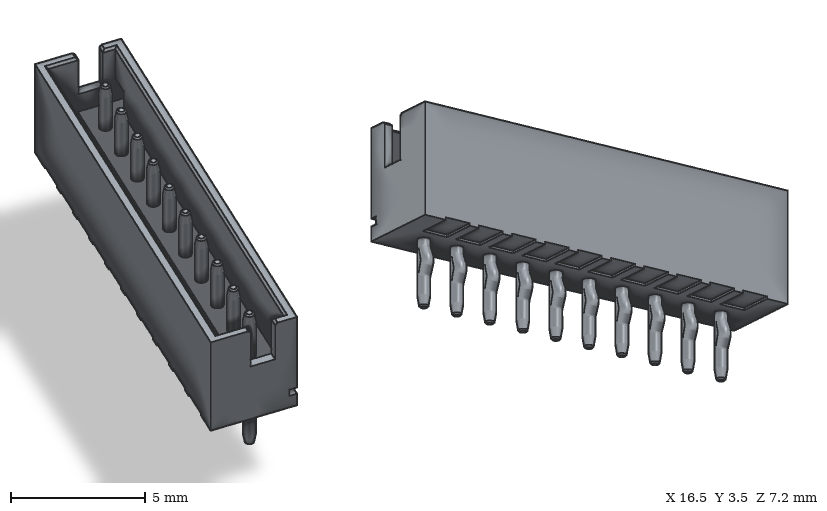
import cadquery as cq
import math

length = 16.5
depth = 3.5
overall_height = 7.2
pin_reach_below = 2.69
height = overall_height - pin_reach_below
end_wall = 0.35
long_wall = 0.4
rim_chamfer = 0.1

shelf_z = 1.78
shelf_edge_y = -0.16
trough_drop = 0.25

slot_rear_y = 0.85
slot_front_y = -0.13
slot_floor_z = 2.67
slot_chamfer = 0.1

window_width = 0.8
window_height = 1.15

groove_z = 0.6
groove_height = 0.31
groove_depth = 0.31

relief_width = 1.09
relief_height = 0.1
relief_depth = 1.48

pin_count = 10
pin_pitch = 1.5
pin_y = 0.46
pin_radius = 0.25
pin_top_z = 3.93
taper_length = 0.45
tip_radius = 0.18
tip_chamfer = 0.07

kink_top_z = -0.2
kink_thinning = 0.002
kink_radius = pin_radius - kink_thinning
kink_half_height = 0.68
kink_angle = math.radians(24)
bend_radius = 0.5
crown_radius = 0.38

cavity_length = length - 2 * end_wall
cavity_half_depth = depth / 2 - long_wall


def box(x_range, y_range, z_range):
    """Axis-aligned box between pairs of limits."""
    (x0, x1), (y0, y1), (z0, z1) = x_range, y_range, z_range
    return cq.Workplane("XY").box(x1 - x0, y1 - y0, z1 - z0, centered=False).translate((x0, y0, z0))


def along_length(points, run):
    """Closed (y, z) outline extruded along X, centred on the housing."""
    return cq.Workplane("YZ").polyline(points).close().extrude(run / 2, both=True)


def make_cavity():
    trough_z = shelf_z - trough_drop
    outline = [
        (-cavity_half_depth, height),
        (-cavity_half_depth, trough_z),
        (shelf_edge_y - trough_drop, trough_z),
        (shelf_edge_y, shelf_z),
        (cavity_half_depth, shelf_z),
        (cavity_half_depth, height),
    ]
    flare = (
        cq.Workplane("XY")
        .workplane(offset=height)
        .rect(cavity_length + 2 * rim_chamfer, 2 * (cavity_half_depth + rim_chamfer))
        .extrude(-rim_chamfer, taper=45)
    )
    return along_length(outline, cavity_length).union(flare)


def make_end_slots():
    outline = [
        (slot_front_y, slot_floor_z),
        (slot_front_y, height - slot_chamfer),
        (slot_front_y - slot_chamfer, height),
        (slot_rear_y + slot_chamfer, height),
        (slot_rear_y, height - slot_chamfer),
        (slot_rear_y, slot_floor_z),
    ]
    return along_length(outline, length)


def make_window():
    """Window at the +X end of the rear wall."""
    outer_x = cavity_length / 2
    return box(
        (outer_x - window_width, outer_x),
        (cavity_half_depth, depth / 2),
        (shelf_z, shelf_z + window_height),
    )


def make_groove():
    return box(
        (-length / 2, length / 2),
        (depth / 2 - groove_depth, depth / 2),
        (groove_z, groove_z + groove_height),
    )


def make_relief():
    """Relief pocket for a pin at X = 0."""
    return box(
        (-relief_width / 2, relief_width / 2),
        (-depth / 2, -depth / 2 + relief_depth),
        (0, relief_height),
    )


def make_kink():
    """Round wire bowed toward -Y: bend, straight, crown, straight, bend."""
    sine = math.sin(kink_angle)
    cosine = math.cos(kink_angle)
    half_angle = kink_angle / 2
    middle_z = kink_top_z - kink_half_height

    mid_bend_offset = bend_radius * (1 - math.cos(half_angle))
    mid_bend_height = kink_half_height - bend_radius * math.sin(half_angle)
    bend_offset = bend_radius * (1 - cosine)
    bend_height = kink_half_height - bend_radius * sine
    crown_height = crown_radius * sine
    crown_offset = bend_offset + (bend_height - crown_height) * math.tan(kink_angle)
    peak_offset = crown_offset + crown_radius * (1 - cosine)

    path = (
        cq.Workplane("YZ")
        .moveTo(0, middle_z + kink_half_height)
        .threePointArc(
            (-mid_bend_offset, middle_z + mid_bend_height),
            (-bend_offset, middle_z + bend_height),
        )
        .lineTo(-crown_offset, middle_z + crown_height)
        .threePointArc((-peak_offset, middle_z), (-crown_offset, middle_z - crown_height))
        .lineTo(-bend_offset, middle_z - bend_height)
        .threePointArc(
            (-mid_bend_offset, middle_z - mid_bend_height),
            (0, middle_z - kink_half_height),
        )
    )
    return cq.Workplane("XY").workplane(offset=kink_top_z).circle(kink_radius).sweep(path)


def make_pin():
    """Pin on the Z axis, tapered at both ends."""
    bottom_z = -pin_reach_below
    end_radius = tip_radius - tip_chamfer
    shank = (
        cq.Workplane("XZ")
        .polyline([
            (0, bottom_z),
            (end_radius, bottom_z),
            (tip_radius, bottom_z + tip_chamfer),
            (pin_radius, bottom_z + taper_length),
            (pin_radius, pin_top_z - taper_length),
            (tip_radius, pin_top_z - tip_chamfer),
            (end_radius, pin_top_z),
            (0, pin_top_z),
        ])
        .close()
        .revolve(360, (0, 0), (0, 1))
    )
    return shank.union(make_kink())


pin_xs = [(i - (pin_count - 1) / 2) * pin_pitch for i in range(pin_count)]

housing = cq.Workplane("XY").box(length, depth, height, centered=(True, True, False))
housing = housing.cut(make_cavity())
housing = housing.cut(make_end_slots())
housing = housing.cut(make_groove())

window = make_window()
housing = housing.cut(window).cut(window.mirror("YZ"))

relief = make_relief()
for x in pin_xs:
    housing = housing.cut(relief.translate((x, 0, 0)))

pin = make_pin()
result = housing
for x in pin_xs:
    result = result.union(pin.translate((x, pin_y, 0)))